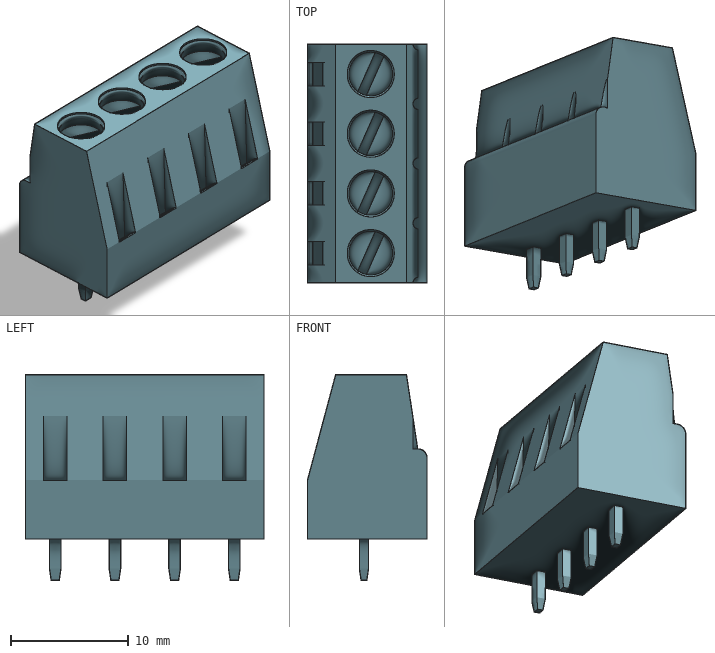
import cadquery as cq
import math

pole_count = 4
pitch = 5.08
length = pole_count * pitch
pole_centres = [(i - (pole_count - 1) / 2) * pitch for i in range(pole_count)]
pole_boundaries = [(i - pole_count / 2) * pitch for i in range(pole_count + 1)]

depth = 10.2
height = 14.0
slant_foot_z = 5.0
slant_top_x = 2.4
rear_top_x = 8.45
step_x = 9.4
step_z = 7.7
step_round = depth - step_x

notch_radius = 0.5
notch_x = 9.5

slot_width = 2.0
slot_top_z = 10.45
slot_back_x = slant_top_x * (slot_top_z - slant_foot_z) / (height - slant_foot_z)
lip_flat = 0.15
lip_slope_x = 0.43
lip_slope_z = 4.8
slot_floor_z = 4.0
slot_floor_back_x = 1.27
slot_floor_front_x = 0.5

screw_x = 5.4
mouth_diameter = 4.01
bore_diameter = 4.0
bead_diameter = 3.72
bead_top_z = 13.85
bead_bottom_z = 13.4
bead_middle_z = (bead_top_z + bead_bottom_z) / 2
bead_bottom_diameter = 3.86
cove_bottom_z = 13.1

head_diameter = 3.9
head_top_z = 12.75
head_height = 2.0
head_bottom_z = head_top_z - head_height
drive_width = 0.8
drive_depth = 0.8
drive_angle = 66.0
pin_x = 4.82
pin_size_x = 0.8
pin_size_y = 1.0
pin_length = 3.5
pin_tip_length = 1.0
pin_tip_size_x = 0.5
pin_tip_size_y = 0.7


def housing_block():
    """Tapered profile with a rounded rear step, extruded over all the poles."""
    round_start_x = depth - step_round
    round_offset = step_round * math.sqrt(0.5)
    return (
        cq.Workplane("XZ")
        .lineTo(depth, 0)
        .lineTo(depth, step_z - step_round)
        .threePointArc(
            (round_start_x + round_offset, step_z - step_round + round_offset),
            (round_start_x, step_z),
        )
        .lineTo(rear_top_x, height)
        .lineTo(slant_top_x, height)
        .lineTo(0, slant_foot_z)
        .close()
        .extrude(length / 2, both=True)
    )


def rear_notches():
    """Vertical half-round cuts standing on the rear step."""
    return (
        cq.Workplane("XY", origin=(0, 0, step_z))
        .pushPoints([(notch_x, y) for y in pole_boundaries])
        .circle(notch_radius)
        .extrude(height - step_z)
    )


def probe_slot(y):
    """Slot with a nearly upright back wall and a lip that dips into a narrow well."""
    return (
        cq.Workplane("XZ", origin=(0, y, 0))
        .moveTo(0, slant_foot_z)
        .lineTo(lip_flat, slant_foot_z)
        .lineTo(lip_slope_x, lip_slope_z)
        .lineTo(slot_floor_front_x, slot_floor_z)
        .lineTo(slot_floor_back_x, slot_floor_z)
        .lineTo(slot_back_x, slot_top_z)
        .lineTo(0, slot_top_z)
        .close()
        .extrude(slot_width / 2, both=True)
    )


def screw_bore(y):
    """Round bore down to the screw seat, narrowed by the bead and cove below its mouth."""
    return (
        cq.Workplane("XZ", origin=(screw_x, y, 0))
        .moveTo(0, head_bottom_z)
        .lineTo(bore_diameter / 2, head_bottom_z)
        .lineTo(bore_diameter / 2, cove_bottom_z)
        .tangentArcPoint((bead_bottom_diameter / 2, bead_bottom_z), relative=False)
        .threePointArc((bead_diameter / 2, bead_middle_z), (bore_diameter / 2, bead_top_z))
        .lineTo(mouth_diameter / 2, height)
        .lineTo(0, height)
        .close()
        .revolve(360, (0, 0, 0), (0, 1, 0))
    )


def pin_shank(y):
    """Straight part of the pin, from its tip taper up to the screw head."""
    shank_bottom_z = pin_tip_length - pin_length
    return (
        cq.Workplane("XY", origin=(pin_x, y, shank_bottom_z))
        .rect(pin_size_x, pin_size_y)
        .extrude(head_bottom_z - shank_bottom_z)
    )


def pin_tip(y):
    """Taper at the lower end of the pin."""
    return (
        cq.Workplane("XY", origin=(pin_x, y, -pin_length))
        .rect(pin_tip_size_x, pin_tip_size_y)
        .workplane(offset=pin_tip_length)
        .rect(pin_size_x, pin_size_y)
        .loft()
    )


def screw_head(y):
    """Round head with a straight driver slot across it."""
    head = (
        cq.Workplane("XY", origin=(screw_x, y, head_bottom_z))
        .circle(head_diameter / 2)
        .extrude(head_height)
    )
    drive_slot = (
        cq.Workplane("XY", origin=(screw_x, y, head_top_z - drive_depth))
        .transformed(rotate=(0, 0, drive_angle))
        .rect(2 * head_diameter, drive_width)
        .extrude(drive_depth)
    )
    return head.cut(drive_slot)


def build_housing():
    """Housing with its notches, probe slots, screw bores and pin holes."""
    body = housing_block().cut(rear_notches())
    for y in pole_centres:
        body = body.cut(probe_slot(y)).cut(screw_bore(y)).cut(pin_shank(y))
    return body


def build_terminal(y):
    """One metal terminal: screw head and pin as a single piece."""
    return screw_head(y).union(pin_shank(y)).union(pin_tip(y))


housing = build_housing()
terminals = [build_terminal(y) for y in pole_centres]
result = cq.Compound.makeCompound([housing.val(), *[terminal.val() for terminal in terminals]])